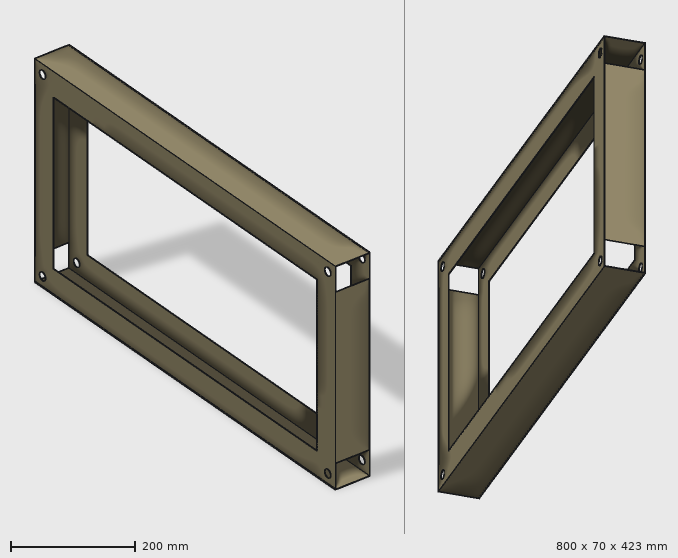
import cadquery as cq

length = 800.0
depth = 70.0
height = 423.0

sheet = 1.5
border = 50.0
hole_diameter = 16.0
hole_inset = 21.0

window_length = length - 2 * border
window_height = height - 2 * border


def centred_box(size_x, size_y, size_z, place=(0, 0, 0)):
    return cq.Workplane("XY").box(size_x, size_y, size_z).translate(place)


inner_depth = depth - 2 * sheet
inner_height = height - 2 * sheet
frame = centred_box(length, depth, height).cut(centred_box(length, inner_depth, inner_height))

frame = frame.cut(centred_box(window_length, depth, window_height))

for side in (-1, 1):
    wall_x = side * (length - sheet) / 2
    frame = frame.union(centred_box(sheet, depth, window_height, (wall_x, 0, 0)))

corner_holes = (
    cq.Workplane("XZ")
    .rect(length - 2 * hole_inset, height - 2 * hole_inset, forConstruction=True)
    .vertices()
    .circle(hole_diameter / 2)
    .extrude(depth / 2, both=True)
)
result = frame.cut(corner_holes)